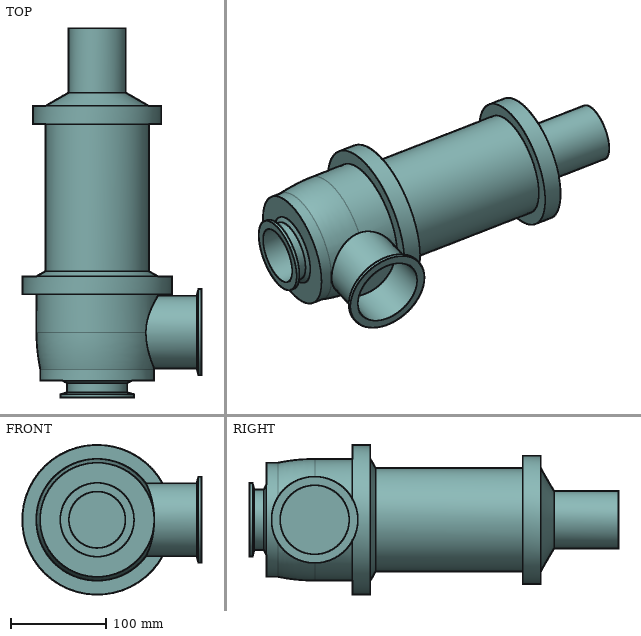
import cadquery as cq
import math

total_length = 388.0
cap_start = 18.0
cap_end = 30.0
bowl_end = 68.7
flange_thickness = 19.0
lower_flange_start = 108.3
lower_flange_end = lower_flange_start + flange_thickness
barrel_start = 132.7
upper_flange_start = 287.2
upper_flange_end = upper_flange_start + flange_thickness
outlet_start = 320.2

cap_radius = 120.0 / 2
body_radius = 128.0 / 2
lower_flange_radius = 157.5 / 2
barrel_radius = 109.0 / 2
upper_flange_radius = 135.0 / 2
outlet_radius = 60.5 / 2

rim_overhang = 7.0
tube_wall = 2.15
rim_thickness = 3.5
rim_slope_length = 2.0

inlet_ferrule_radius = 77.5 / 2
inlet_tube_radius = inlet_ferrule_radius - rim_overhang
inlet_weld_radius = 37.0
inlet_weld_length = 2.7
inlet_bore_depth = cap_end

branch_ferrule_radius = 91.0 / 2
branch_tube_radius = branch_ferrule_radius - rim_overhang
branch_position = bowl_end
branch_face = 110.0
branch_bore_depth = branch_face - body_radius


def make_ferrule(plane, rim_radius, tube_radius, length):
    """Tube running along the plane normal, starting with its clamp rim."""
    profile = (
        cq.Workplane("XY")
        .lineTo(rim_radius, 0)
        .lineTo(rim_radius, rim_thickness)
        .lineTo(tube_radius, rim_thickness + rim_slope_length)
        .lineTo(tube_radius, length)
        .lineTo(0, length)
        .close()
    )
    ferrule = profile.revolve(360, (0, 0, 0), (0, 1, 0)).rotate((0, 0, 0), (1, 0, 0), 90)
    return cq.Workplane(ferrule.val().moved(cq.Location(plane)))


def make_bore(plane, tube_radius, depth):
    return cq.Workplane(plane).circle(tube_radius - tube_wall).extrude(depth)


def make_body():
    """Bowl, flanges, barrel and outlet pipe, revolved about the Y axis."""
    bowl_drop = body_radius - cap_radius
    bowl_length = bowl_end - cap_end
    bowl_arc_radius = (bowl_length**2 + bowl_drop**2) / (2 * bowl_drop)
    half_length = bowl_length / 2
    arc_mid_drop = bowl_arc_radius - math.sqrt(bowl_arc_radius**2 - half_length**2)
    arc_mid = (body_radius - arc_mid_drop, bowl_end - half_length)
    profile = (
        cq.Workplane("XY")
        .moveTo(0, cap_start - inlet_weld_length)
        .lineTo(inlet_tube_radius, cap_start - inlet_weld_length)
        .lineTo(inlet_weld_radius, cap_start)
        .lineTo(cap_radius, cap_start)
        .lineTo(cap_radius, cap_end)
        .threePointArc(arc_mid, (body_radius, bowl_end))
        .lineTo(body_radius, lower_flange_start)
        .lineTo(lower_flange_radius, lower_flange_start)
        .lineTo(lower_flange_radius, lower_flange_end)
        .lineTo(body_radius, lower_flange_end)
        .lineTo(barrel_radius, barrel_start)
        .lineTo(barrel_radius, upper_flange_start)
        .lineTo(upper_flange_radius, upper_flange_start)
        .lineTo(upper_flange_radius, upper_flange_end)
        .lineTo(barrel_radius, upper_flange_end)
        .lineTo(outlet_radius, outlet_start)
        .lineTo(outlet_radius, total_length)
        .lineTo(0, total_length)
        .close()
    )
    return profile.revolve(360, (0, 0, 0), (0, 1, 0))


inlet_plane = cq.Plane(origin=(0, 0, 0), xDir=(1, 0, 0), normal=(0, 1, 0))
branch_plane = cq.Plane(origin=(branch_face, branch_position, 0), xDir=(0, 1, 0), normal=(-1, 0, 0))

inlet = make_ferrule(inlet_plane, inlet_ferrule_radius, inlet_tube_radius, cap_start)
branch = make_ferrule(branch_plane, branch_ferrule_radius, branch_tube_radius, branch_face)

result = (
    make_body()
    .union(inlet)
    .union(branch)
    .cut(make_bore(inlet_plane, inlet_tube_radius, inlet_bore_depth))
    .cut(make_bore(branch_plane, branch_tube_radius, branch_bore_depth))
)